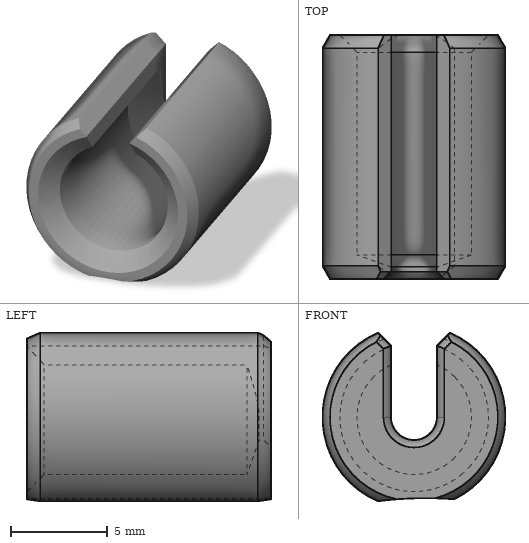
import cadquery as cq
import math

body_radius = 9.525 / 2
body_length = 12.7
rear_y = body_length / 2
front_y = -rear_y
end_chamfer_length = 0.686
end_chamfer_angle = 30.0

slot_radius = 2.381 / 2
slot_mouth_chamfer = 0.397
flare_start_z = 3.71
flare_angle = 45.0

bore_radius = 5.953 / 2
front_wall_thickness = 0.635
bore_tip_y = front_y + front_wall_thickness
bore_tip_length = 0.635
countersink_length = 0.89

hollow_radius = 19.05
hollow_center_x = 0.6
hollow_top_z = -4.225

margin = 1.0


def revolve_about_y(points):
    """Turn a closed (radius, y) outline about the Y axis."""
    return cq.Workplane("XY").polyline(points).close().revolve(360, (0, 0), (0, 1))


def make_body():
    """Solid cylinder with a bevel at each end."""
    end_radius = body_radius - end_chamfer_length * math.tan(math.radians(end_chamfer_angle))
    return revolve_about_y([
        (0, front_y),
        (end_radius, front_y),
        (body_radius, front_y + end_chamfer_length),
        (body_radius, rear_y - end_chamfer_length),
        (end_radius, rear_y),
        (0, rear_y),
    ])


def make_bore():
    """Bore with a conical front end and a countersunk rear mouth."""
    mouth_radius = bore_radius + countersink_length
    return revolve_about_y([
        (0, bore_tip_y),
        (slot_radius, bore_tip_y),
        (bore_radius, bore_tip_y + bore_tip_length),
        (bore_radius, rear_y - countersink_length),
        (mouth_radius, rear_y),
        (0, rear_y),
    ])


def slot_outline(start_y, offset):
    """Slot cross-section at start_y, with its whole boundary moved outward by offset."""
    half_width = slot_radius + offset
    corner_z = flare_start_z - offset * math.tan(math.radians(flare_angle / 2))
    top_z = body_radius + margin
    top_half_width = half_width + (top_z - corner_z) * math.tan(math.radians(flare_angle))
    return (
        cq.Workplane("XZ", origin=(0, start_y, 0))
        .moveTo(-half_width, 0)
        .threePointArc((0, -half_width), (half_width, 0))
        .lineTo(half_width, corner_z)
        .lineTo(top_half_width, top_z)
        .lineTo(-top_half_width, top_z)
        .lineTo(-half_width, corner_z)
        .close()
    )


def make_slot():
    """Flared slot through the full length."""
    return slot_outline(rear_y, 0).extrude(body_length)


def make_slot_mouth():
    """Bevelled entry of the slot at the front end."""
    inner_wire = slot_outline(front_y + slot_mouth_chamfer, 0).val()
    outer_wire = slot_outline(front_y, slot_mouth_chamfer).val()
    return cq.Workplane(cq.Solid.makeLoft([inner_wire, outer_wire], True))


def make_hollow():
    """Large cylinder that grazes the underside along its full length."""
    return (
        cq.Workplane("XZ", origin=(0, rear_y, 0))
        .center(hollow_center_x, hollow_top_z - hollow_radius)
        .circle(hollow_radius)
        .extrude(body_length)
    )


result = (
    make_body()
    .cut(make_bore())
    .cut(make_slot())
    .cut(make_slot_mouth())
    .cut(make_hollow())
)